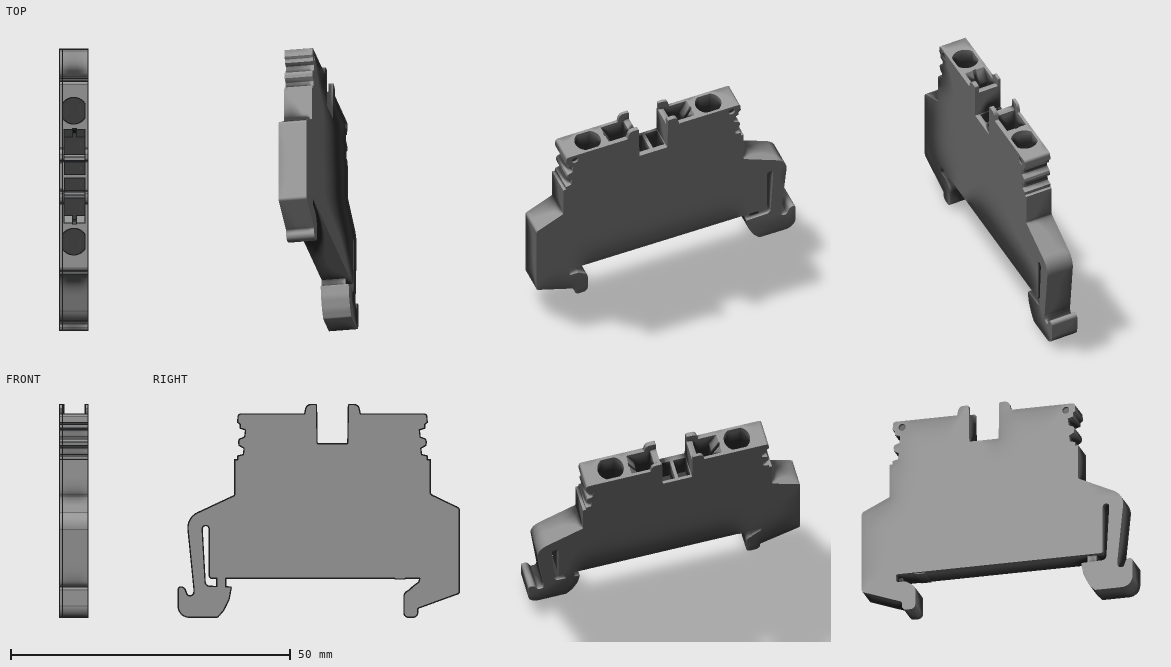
import cadquery as cq
import math


width = 5.1
cover_width = 0.5
front_y = -25.15
back_y = 25.15
rail_z = 6.97
top_z = 36.36
ear_z = 38.05
head_y = 2.45

groove_half_top = 2.83
groove_half_floor = 2.72
groove_floor_z = 31.06
ear_half_outer = 5.0
ear_half_crown = 4.62
ear_outer_round = 0.93
ear_inner_round = 0.25

trunk_half = 17.5
grip_steps = [
    (16.85, top_z, 0.5),
    (16.97, 34.85, 0),
    (16.5, 34.5, 0),
    (16.5, 33.8, 0),
    (15.55, 33.5, 0),
    (15.7, 32.25, 0),
    (16.65, 31.85, 0),
    (16.8, 31.36, 0),
    (16.7, 30.75, 0),
    (15.8, 30.2, 0.1),
    (15.95, 29.1, 0),
    (16.95, 28.85, 0),
    (16.95, 28.2, 0),
    (trunk_half, 28.2, 0),
]

cavity_x_min = 0.8
cavity_x_max = 4.57
wire_entry_offset = 11.7
wire_entry_diameter = 4.75
wire_entry_depth = 9.0
tool_pocket_inner = 3.4
tool_pocket_outer = 8.35
tool_pocket_depth = 9.0
lead_in_run = 1.35
lead_in_drop = 2.5
ridge_slope_run = 0.5
ridge_slope_drop = 0.2
notch_x_min = 2.35
notch_x_max = 3.05
notch_overrun = 0.15
notch_run = 0.8
shaft_x_min = 0.93
shaft_length = 2.3
shaft_gap = 0.6
shaft_depth = 5.0

clamp_height = 4.0
contact_height = 4.0

locating_hole_diameter = 1.28
locating_hole_offset = 15.2
locating_hole_z = 35.15

latch_web_y = (-18.25, -16.6)
latch_web_x_min = 0.8
latch_web_z = 5.4
hook_web_x_min = 2.0
rail_pad_y = (13.6, 15.45)
rail_pad_height = 0.12


def rounded_outline(corners, x_start):
    """Closed YZ outline through (Y, Z, radius) corners, with a tangent arc where the radius is not 0."""
    sketch = None
    for index, (y, z, radius) in enumerate(corners):
        here = cq.Vector(y, z)
        to_last = (cq.Vector(*corners[index - 1][:2]) - here).normalized()
        to_next = (cq.Vector(*corners[(index + 1) % len(corners)][:2]) - here).normalized()
        half_angle = to_last.getAngle(to_next) / 2
        setback = radius / math.tan(half_angle)
        bisector = (to_last + to_next).normalized()
        start = here + to_last * setback
        middle = here + bisector * (radius / math.sin(half_angle) - radius)
        end = here + to_next * setback
        if sketch is None:
            sketch = cq.Workplane("YZ", origin=(x_start, 0, 0)).moveTo(start.x, start.y)
        else:
            sketch = sketch.lineTo(start.x, start.y)
        if radius > 0:
            sketch = sketch.threePointArc((middle.x, middle.y), (end.x, end.y))
    return sketch.close()


def box(x_range, y_range, z_range):
    """Box between two limits along each axis, given in any order."""
    sizes = [abs(limits[1] - limits[0]) for limits in (x_range, y_range, z_range)]
    corner = [min(limits) for limits in (x_range, y_range, z_range)]
    return cq.Workplane("XY").box(*sizes, centered=False).translate(tuple(corner))


def on_side(points, side):
    """YZ points from (distance from head_y, Z) pairs; side is +1 (back) or -1 (front)."""
    return [(head_y + side * offset, z) for offset, z in points]


def prism(points, x_range):
    """YZ polygon extruded between two X limits."""
    plane = cq.Workplane("YZ", origin=(x_range[0], 0, 0))
    return plane.polyline(points).close().extrude(x_range[1] - x_range[0])


def head_side(side):
    """Corners of one half of the head, from the groove floor out and down; side is +1 (back) or -1."""
    half = [
        (groove_half_floor, groove_floor_z, 0.15),
        (groove_half_top, ear_z, ear_inner_round),
        (ear_half_crown, ear_z, ear_outer_round),
        (ear_half_outer, top_z, 0),
        *grip_steps,
    ]
    return [(head_y + side * offset, z, radius) for offset, z, radius in half]


back_hook = [
    (head_y + trunk_half, 22.0, 0.5),
    (back_y, 19.5, 0.6),
    (back_y, 4.3, 0.5),
    (17.7, 1.6, 0.4),
    (17.7, 0, 0.85),
    (15.2, 0, 0.85),
    (15.2, 4.3, 1.2),
    (17.0, 5.45, 0),
    (18.75, 5.45, 0.4),
    (18.75, rail_z, 0.2),
]

latch_foot = [
    (-19.6, rail_z, 0.5),
    (-19.6, 16.4, 0.59),
    (-20.85, 16.4, 0.59),
    (-20.25, 5.6, 0.8),
    (-15.6, 5.45, 0.2),
    (-16.0, 3.2, 3.0),
    (-17.0, 1.2, 3.0),
    (-18.1, 0, 0.5),
    (front_y, 0, 2.0),
    (front_y, 5.45, 0.55),
    (-24.05, 5.45, 0.8),
    (-23.45, 3.9, 0.35),
    (-22.4, 3.9, 0.55),
    (-22.3, 4.9, 0),
    (-23.6, 17.8, 3.0),
    (head_y - trunk_half, 21.8, 0.3),
]

hook_web = [
    (19.0, rail_z),
    (18.05, rail_z),
    (17.9, 6.35),
    (16.3, 5.1),
    (16.3, 4.5),
    (19.0, 4.5),
]


def side_plate(x_start, thickness):
    back_half = head_side(1) + back_hook
    front_half = latch_foot + head_side(-1)[::-1]
    return rounded_outline(back_half + front_half, x_start).extrude(thickness)


def wire_plug(side, z_bottom, z_top):
    """Round column of a wire entry, flattened where it meets the cover and the far wall."""
    y = head_y + side * wire_entry_offset
    column = cq.Workplane("XY", origin=(width / 2, y, z_bottom))
    column = column.circle(wire_entry_diameter / 2).extrude(z_top - z_bottom)
    y_range = (y - wire_entry_diameter, y + wire_entry_diameter)
    flats = box((cover_width, cavity_x_max), y_range, (z_bottom, z_top))
    return column.intersect(flats)


def tool_pocket(side):
    """Screwdriver pocket with a notched lead-in slope and a bevelled ridge beside the groove."""
    floor_z = top_z - tool_pocket_depth
    slope_foot = tool_pocket_outer - lead_in_run
    ridge_foot = tool_pocket_inner + ridge_slope_run
    pocket = [
        (tool_pocket_inner, ear_z),
        (tool_pocket_inner, top_z),
        (ridge_foot, top_z - ridge_slope_drop),
        (ridge_foot, floor_z),
        (slope_foot, floor_z),
        (slope_foot, top_z - lead_in_drop),
        (tool_pocket_outer, top_z),
        (tool_pocket_outer, ear_z),
    ]
    notch_edge = tool_pocket_outer + notch_overrun
    notch = [
        (slope_foot, top_z),
        (slope_foot, floor_z),
        (notch_edge - notch_run, floor_z),
        (notch_edge, top_z),
    ]
    cut = prism(on_side(pocket, side), (cavity_x_min, cavity_x_max))
    return cut.union(prism(on_side(notch, side), (notch_x_min, notch_x_max)))


def ear_gap():
    """Space between the two ears of each pair, above the top deck."""
    y_range = (head_y - ear_half_outer, head_y + ear_half_outer)
    return box((cavity_x_min, cavity_x_max), y_range, (top_z, ear_z))


def shaft_block(side, z_bottom, z_top):
    near = head_y + side * shaft_gap / 2
    return box((shaft_x_min, cavity_x_max), (near, near + side * shaft_length), (z_bottom, z_top))


wire_floor_z = top_z - wire_entry_depth
shaft_floor_z = groove_floor_z - shaft_depth


def make_housing():
    body = side_plate(cover_width, width - cover_width)
    body = body.union(box((latch_web_x_min, width), latch_web_y, (latch_web_z, rail_z)))
    body = body.union(prism(hook_web, (hook_web_x_min, width)))
    body = body.union(box((cover_width, width), rail_pad_y, (rail_z - rail_pad_height, rail_z)))
    body = body.cut(ear_gap())
    for side in (-1, 1):
        body = body.cut(wire_plug(side, wire_floor_z - clamp_height, top_z))
        body = body.cut(tool_pocket(side))
        body = body.cut(shaft_block(side, shaft_floor_z - contact_height, groove_floor_z))
    return body


def make_cover():
    plate = side_plate(0, cover_width)
    holes = cq.Workplane("YZ").pushPoints(
        [(head_y + side * locating_hole_offset, locating_hole_z) for side in (-1, 1)]
    )
    return plate.cut(holes.circle(locating_hole_diameter / 2).extrude(cover_width))


housing = make_housing()
cover = make_cover()
wire_clamps = [wire_plug(side, wire_floor_z - clamp_height, wire_floor_z) for side in (-1, 1)]
contacts = [shaft_block(side, shaft_floor_z - contact_height, shaft_floor_z) for side in (-1, 1)]

result = cq.Compound.makeCompound(
    [
        housing.val(),
        cover.val(),
        *[clamp.val() for clamp in wire_clamps],
        *[contact.val() for contact in contacts],
    ]
)